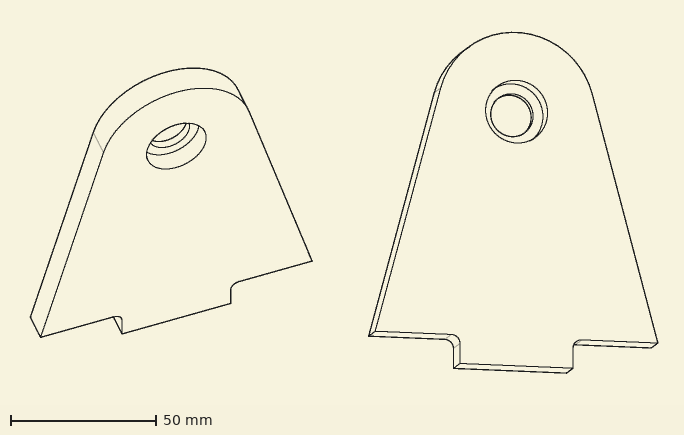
import cadquery as cq
import math

thickness = 10.0
base_width = 100.0
total_height = 116.7
tab_width = 40.0
tab_height = 10.0
tab_fillet = 3.0
crown_radius = 27.8
hole_diameter = 15.0
counterbore_diameter = 22.0
counterbore_depth = 7.0

hole_height = total_height - crown_radius
half_base = base_width / 2
half_tab = tab_width / 2

rise = hole_height - tab_height
corner_distance = math.hypot(half_base, rise)
corner_angle = math.atan2(-rise, half_base)
tangent_angle = corner_angle + math.acos(crown_radius / corner_distance)
tangent_y = crown_radius * math.cos(tangent_angle)
tangent_z = hole_height + crown_radius * math.sin(tangent_angle)


def make_plate():
    """Tapered plate with a rounded crown and a tab below the base."""
    return (
        cq.Workplane("YZ")
        .moveTo(-half_tab, 0)
        .lineTo(half_tab, 0)
        .lineTo(half_tab, tab_height)
        .lineTo(half_base, tab_height)
        .lineTo(tangent_y, tangent_z)
        .threePointArc((0, total_height), (-tangent_y, tangent_z))
        .lineTo(-half_base, tab_height)
        .lineTo(-half_tab, tab_height)
        .close()
        .extrude(thickness)
    )


def fillet_tab_corners(plate):
    """Round the two inner corners where the tab meets the base."""
    for y in (-half_tab, half_tab):
        corner = cq.selectors.NearestToPointSelector((thickness / 2, y, tab_height))
        plate = plate.edges("|X").edges(corner).fillet(tab_fillet)
    return plate


def make_bore(diameter, start_x):
    """Cylinder about the crown centre, from start_x to the +X face."""
    return (
        cq.Workplane("YZ", origin=(start_x, 0, hole_height))
        .circle(diameter / 2)
        .extrude(thickness - start_x)
    )


through_hole = make_bore(hole_diameter, 0)
counterbore = make_bore(counterbore_diameter, thickness - counterbore_depth)

result = fillet_tab_corners(make_plate()).cut(through_hole).cut(counterbore)